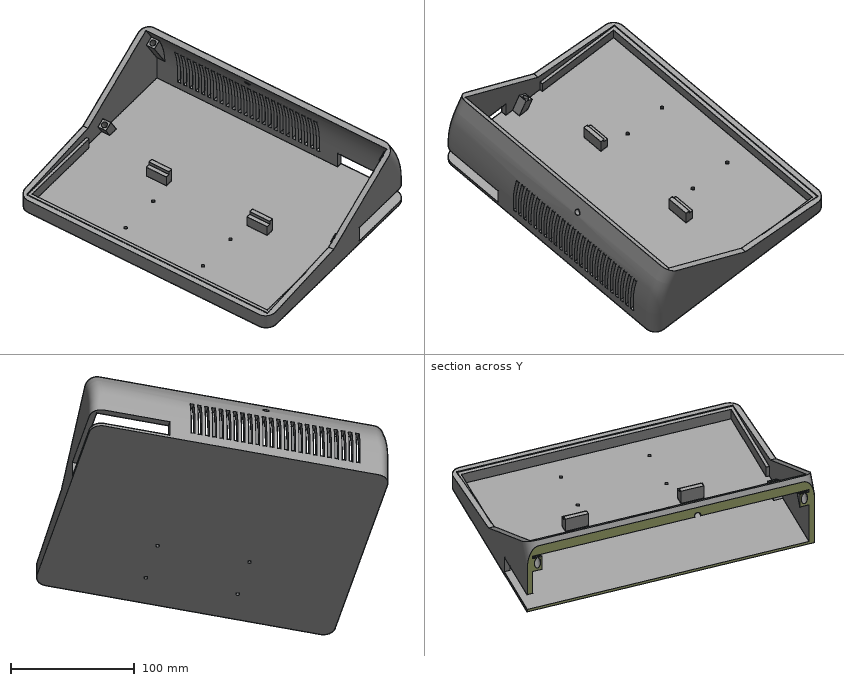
import cadquery as cq
import math

WIDTH = 248.4
DEPTH = 190.7
HEIGHT = 70.3
WALL = 5.0
FLOOR = 3.0
CORNER_RADIUS = 10.0
CLEARANCE = 12.5

RIM_TILT = math.radians(30)
FRONT_TILT = math.radians(5)
APEX_SETBACK = 16.0
KINK_Y = 90.0
BACK_BEND_RADIUS = 70.0
APEX_Y = DEPTH - APEX_SETBACK
KINK_Z = HEIGHT - (APEX_Y - KINK_Y) * math.tan(RIM_TILT)
FRONT_Z = KINK_Z - KINK_Y * math.tan(FRONT_TILT)

LEDGE_TOP = 13.0
LEDGE_SIDE = 2.7
LEDGE_FRONT = 3.5
LEDGE_END_Y = 87.7

POST_SIZE = 8.0
POST_RECESS = 15.0
POST_STARTS = (5.0, 82.7)
POST_LENGTH = 49.7
POST_HOLE_DIAMETER = 5.0
POST_HOLE_DEPTH = 10.0

CLIP_CENTER_X = 50.0
CLIP_LENGTH = 19.9
CLIP_DEPTH = 7.5
CLIP_FRONT_Y = 87.7
CLIP_TOP = 15.6
CLIP_STEP = 3.0

FLOOR_HOLE_DIAMETER = 2.7
FLOOR_HOLE_SPACING_X = 76.5
FLOOR_HOLE_SPACING_Y = 38.2
FLOOR_HOLE_FRONT_Y = 28.8

SLOT_COUNT = 24
SLOT_SPAN = 137.5
SLOT_PITCH = SLOT_SPAN / (SLOT_COUNT - 1)
SLOT_WIDTH = 3.0
SLOT_FIRST_X = -97.4
SLOT_BOTTOM = 10.0
SLOT_TOP = 45.7

WALL_HOLE_DIAMETER = 5.0
WALL_HOLE_X = -23.0
WALL_HOLE_DROP = 12.2

OPENING_TOP = 18.0
OPENING_LEFT_X = 59.5
OPENING_FRONT_Y = 125.7


def span_box(x_range, y_range, z_range):
    """Box between the given limits on each axis."""
    sizes = [high - low for low, high in (x_range, y_range, z_range)]
    corner = (x_range[0], y_range[0], z_range[0])
    return cq.Workplane("XY").box(*sizes, centered=False).translate(corner)


def side_extrusion(outline, width):
    """Extrude an outline drawn on the YZ plane evenly to both sides of X = 0."""
    return outline.close().extrude(width / 2, both=True)


def rim_point(along, inward):
    """(Y, Z) of a point below the apex along the rim, and then square to the rim into the case."""
    y = APEX_Y - along * math.cos(RIM_TILT) + inward * math.sin(RIM_TILT)
    z = HEIGHT - along * math.sin(RIM_TILT) - inward * math.cos(RIM_TILT)
    return y, z


def back_wall_outline(outline, inset, top_point):
    """Continue an outline up the back: vertical, bend, then straight to a point square to the rim."""
    top_y, top_z = top_point
    back_y = DEPTH - inset
    corner_z = top_z - (back_y - top_y) / math.tan(RIM_TILT)
    tangent = BACK_BEND_RADIUS * math.tan(RIM_TILT / 2)
    bend_start = (back_y, corner_z - tangent)
    bend_middle = (
        back_y - BACK_BEND_RADIUS * (1 - math.cos(RIM_TILT / 2)),
        corner_z - tangent + BACK_BEND_RADIUS * math.sin(RIM_TILT / 2),
    )
    bend_end = (
        back_y - tangent * math.sin(RIM_TILT),
        corner_z + tangent * math.cos(RIM_TILT),
    )
    return outline.lineTo(*bend_start).threePointArc(bend_middle, bend_end).lineTo(top_y, top_z)


def make_shell():
    outline = cq.Workplane("YZ").lineTo(DEPTH, 0)
    outline = back_wall_outline(outline, 0, (APEX_Y, HEIGHT))
    outline = outline.lineTo(KINK_Y, KINK_Z).lineTo(0, FRONT_Z)
    body = side_extrusion(outline, WIDTH)
    back_zone = cq.selectors.BoxSelector((-WIDTH, APEX_Y, 0), (WIDTH, DEPTH + CLEARANCE, HEIGHT))
    body = body.edges("<X or >X").edges(back_zone).fillet(CORNER_RADIUS)
    body = body.edges("|Z and <Y").fillet(CORNER_RADIUS)

    cavity_top = rim_point(WALL, -CLEARANCE)
    outline = cq.Workplane("YZ").moveTo(WALL, FLOOR).lineTo(DEPTH - WALL, FLOOR)
    outline = back_wall_outline(outline, WALL, cavity_top)
    outline = outline.lineTo(WALL, cavity_top[1])
    return body.cut(side_extrusion(outline, WIDTH - 2 * WALL))


def make_ledge():
    half_inside = WIDTH / 2 - WALL
    half_gap = half_inside - LEDGE_SIDE
    ledge = span_box((-half_inside, half_inside), (WALL, LEDGE_END_Y), (0, LEDGE_TOP))
    gap = span_box((-half_gap, half_gap), (WALL + LEDGE_FRONT, LEDGE_END_Y), (0, LEDGE_TOP))
    return ledge.cut(gap)


def make_posts(post_envelope):
    """Four posts with blind screw holes, trimmed so that they end inside the back wall and floor."""
    center_x = (WIDTH - POST_SIZE) / 2 - WALL
    posts = cq.Workplane("XY")
    holes = cq.Workplane("XY")
    inward = (0, math.sin(RIM_TILT), -math.cos(RIM_TILT))
    for start in POST_STARTS:
        y, z = rim_point(start + POST_SIZE / 2, POST_RECESS)
        for x in (-center_x, center_x):
            top = cq.Workplane(cq.Plane((x, y, z), (1, 0, 0), inward))
            posts = posts.add(top.rect(POST_SIZE, POST_SIZE).extrude(POST_LENGTH))
            holes = holes.add(top.circle(POST_HOLE_DIAMETER / 2).extrude(POST_HOLE_DEPTH))
    return posts.combine().intersect(post_envelope), holes.combine()


def make_clip(center_x):
    x_range = (center_x - CLIP_LENGTH / 2, center_x + CLIP_LENGTH / 2)
    middle_y = CLIP_FRONT_Y + CLIP_DEPTH / 2
    back_y = CLIP_FRONT_Y + CLIP_DEPTH
    front = span_box(x_range, (CLIP_FRONT_Y, middle_y), (0, CLIP_TOP - CLIP_STEP))
    back = span_box(x_range, (middle_y, back_y), (0, CLIP_TOP))
    return front.union(back)


def make_floor_holes():
    center_y = FLOOR_HOLE_FRONT_Y + FLOOR_HOLE_SPACING_Y / 2
    return (
        cq.Workplane("XY")
        .center(0, center_y)
        .rarray(FLOOR_HOLE_SPACING_X, FLOOR_HOLE_SPACING_Y, 2, 2)
        .circle(FLOOR_HOLE_DIAMETER / 2)
        .extrude(FLOOR)
    )


def make_vent_slots():
    slots = cq.Workplane("XY")
    for index in range(SLOT_COUNT):
        center_x = SLOT_FIRST_X + index * SLOT_PITCH
        x_range = (center_x - SLOT_WIDTH / 2, center_x + SLOT_WIDTH / 2)
        slots = slots.add(span_box(x_range, (APEX_Y, DEPTH + CLEARANCE), (SLOT_BOTTOM, SLOT_TOP)))
    return slots.combine()


def make_wall_hole():
    y, z = rim_point(0, WALL_HOLE_DROP)
    into_case = (0, -math.cos(RIM_TILT), -math.sin(RIM_TILT))
    outside = cq.Workplane(cq.Plane((WALL_HOLE_X, y, z), (1, 0, 0), into_case))
    return outside.circle(WALL_HOLE_DIAMETER / 2).extrude(2 * WALL, both=True)


def make_corner_opening():
    return span_box(
        (OPENING_LEFT_X, WIDTH / 2 + CLEARANCE),
        (OPENING_FRONT_Y, DEPTH + CLEARANCE),
        (FLOOR, OPENING_TOP),
    )


post_envelope = span_box((-WIDTH / 2, WIDTH / 2), (0, DEPTH - WALL), (FLOOR / 2, HEIGHT))
posts, post_holes = make_posts(post_envelope)

result = make_shell().union(make_ledge()).union(posts)
for clip_x in (-CLIP_CENTER_X, CLIP_CENTER_X):
    result = result.union(make_clip(clip_x))
for cutter in (post_holes, make_floor_holes(), make_vent_slots(), make_wall_hole(), make_corner_opening()):
    result = result.cut(cutter)